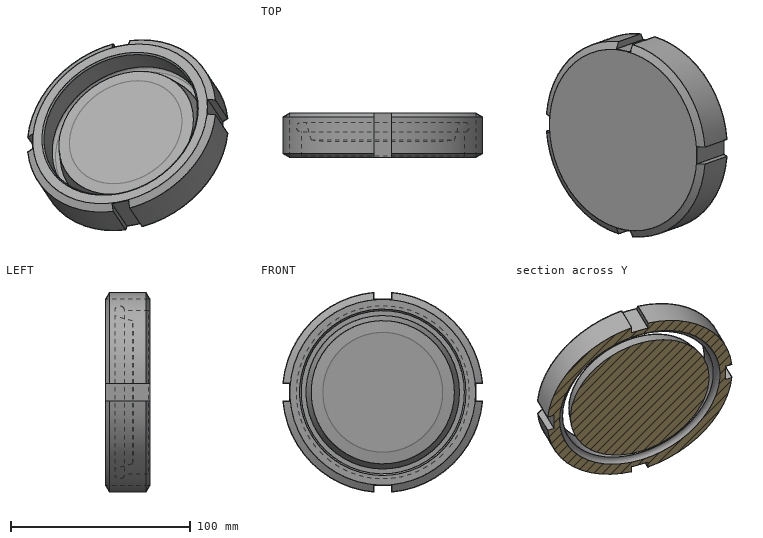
import cadquery as cq
import math

slot_count = 4
slot_width = 9.8

overall_width = 111.5
outer_radius = math.hypot(overall_width / 2, slot_width / 2)
length = 25.0
front = -length / 2
back = length / 2

chamfer_axial = 2.3
chamfer_radial = 4.1
face_radius = outer_radius - chamfer_radial

bore_radius = 91.1 / 2
mouth_chamfer = 0.9
bore_depth = 14.3

cover_radius = 85.7 / 2
cover_edge_radius = 80.0 / 2
cover_face_radius = 33.5
cover_face_depth = 9.1
cover_edge_depth = 9.8

undercut_radius = 5.5 / 2
floor_depth = bore_depth + 2 * undercut_radius

slot_floor_radius = 52.0


def make_body():
    """Revolve the half section (radius, Y) about the Y axis."""
    undercut_bottom = (bore_radius + undercut_radius, front + bore_depth + undercut_radius)
    return (
        cq.Workplane("XY")
        .moveTo(0, back)
        .lineTo(face_radius, back)
        .lineTo(outer_radius, back - chamfer_axial)
        .lineTo(outer_radius, front + chamfer_axial)
        .lineTo(face_radius, front)
        .lineTo(bore_radius + mouth_chamfer, front)
        .lineTo(bore_radius, front + mouth_chamfer)
        .lineTo(bore_radius, front + bore_depth)
        .threePointArc(undercut_bottom, (bore_radius, front + floor_depth))
        .lineTo(cover_radius, front + floor_depth)
        .lineTo(cover_edge_radius, front + cover_edge_depth)
        .lineTo(cover_face_radius, front + cover_face_depth)
        .lineTo(0, front + cover_face_depth)
        .close()
        .revolve(360, (0, 0), (0, 1))
    )


def make_slot(angle):
    """Make a cutter for one slot, running the full length of the ring."""
    slot_depth = outer_radius - slot_floor_radius
    return (
        cq.Workplane("XY")
        .box(slot_width, length, 2 * slot_depth)
        .translate((0, 0, outer_radius))
        .rotate((0, 0, 0), (0, 1, 0), angle)
    )


result = make_body()
for index in range(slot_count):
    result = result.cut(make_slot(index * 360 / slot_count))